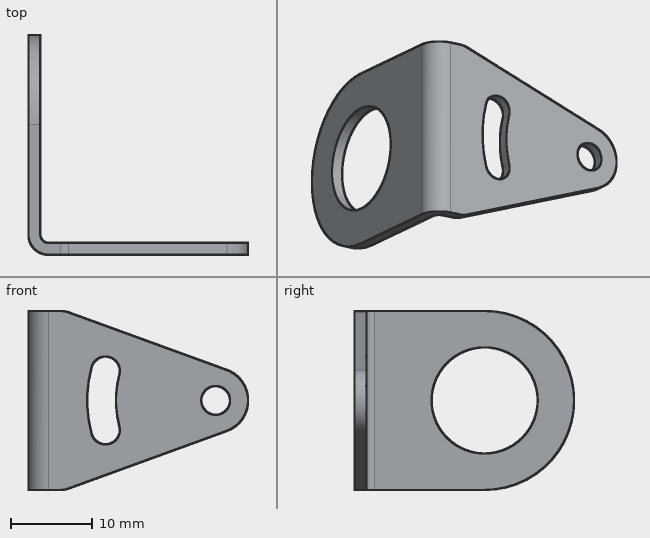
import cadquery as cq
import math

thickness = 1.5
inner_bend_radius = 1.0
outer_bend_radius = inner_bend_radius + thickness
leg_length = 27.0
height = 22.0
half_height = height / 2

round_end_radius = half_height
round_end_y = leg_length - round_end_radius
large_hole_diameter = 13.0

tip_radius = 4.0
pivot_x = leg_length - tip_radius
pivot_hole_diameter = 3.5
taper_angle = math.radians(20.0)
shoulder_radius = 3.0

slot_path_radius = 14.0
slot_width = 3.5
slot_half_angle = math.radians(15.0)


def make_bent_sheet():
    """L-shaped sheet with a rounded bend, its outer faces on X = 0 and Y = 0."""
    return (
        cq.Workplane("XY")
        .workplane(offset=-half_height)
        .moveTo(outer_bend_radius, 0)
        .lineTo(leg_length, 0)
        .lineTo(leg_length, thickness)
        .lineTo(outer_bend_radius, thickness)
        .radiusArc((thickness, outer_bend_radius), inner_bend_radius)
        .lineTo(thickness, leg_length)
        .lineTo(0, leg_length)
        .lineTo(0, outer_bend_radius)
        .radiusArc((outer_bend_radius, 0), -outer_bend_radius)
        .close()
        .extrude(height)
    )


def x_leg_plane():
    """Plane on the outer face of the X leg; local axes are X and Z."""
    return cq.Workplane("XZ")


def make_tapered_envelope():
    """Silhouette of the tapered leg, extruded over the depth of the part."""
    tangent_x = pivot_x + tip_radius * math.sin(taper_angle)
    tangent_z = tip_radius * math.cos(taper_angle)
    shoulder_x = tangent_x - (half_height - tangent_z) / math.tan(taper_angle)
    shoulder_setback = shoulder_radius * math.tan(taper_angle / 2)
    arc_start_x = shoulder_x - shoulder_setback
    arc_end_x = shoulder_x + shoulder_setback * math.cos(taper_angle)
    arc_end_z = half_height - shoulder_setback * math.sin(taper_angle)
    return (
        x_leg_plane()
        .moveTo(0, -half_height)
        .lineTo(0, half_height)
        .lineTo(arc_start_x, half_height)
        .radiusArc((arc_end_x, arc_end_z), shoulder_radius)
        .lineTo(tangent_x, tangent_z)
        .threePointArc((leg_length, 0), (tangent_x, -tangent_z))
        .lineTo(arc_end_x, -arc_end_z)
        .radiusArc((arc_start_x, -half_height), shoulder_radius)
        .close()
        .extrude(-leg_length)
    )


def make_rounded_envelope():
    """Silhouette of the round-ended leg, extruded over the width of the part."""
    return (
        cq.Workplane("YZ")
        .moveTo(0, -half_height)
        .lineTo(round_end_y, -half_height)
        .threePointArc((leg_length, 0), (round_end_y, half_height))
        .lineTo(0, half_height)
        .close()
        .extrude(leg_length)
    )


def make_large_hole():
    """Cutter for the large hole, concentric with the rounded end."""
    return (
        cq.Workplane("YZ")
        .center(round_end_y, 0)
        .circle(large_hole_diameter / 2)
        .extrude(thickness)
    )


def make_pivot_hole():
    """Cutter for the pivot hole, concentric with the tapered tip."""
    return (
        x_leg_plane()
        .center(pivot_x, 0)
        .circle(pivot_hole_diameter / 2)
        .extrude(-thickness)
    )


def slot_point(radius, angle):
    """Point at a radius and angle from the pivot, measured from the -X direction."""
    return (pivot_x - radius * math.cos(angle), radius * math.sin(angle))


def make_curved_slot():
    """Cutter for the arc-shaped slot with rounded ends."""
    end_radius = slot_width / 2
    near_radius = slot_path_radius - end_radius
    far_radius = slot_path_radius + end_radius
    end_x, end_z = slot_point(slot_path_radius, slot_half_angle)
    end_crown = (
        end_x + end_radius * math.sin(slot_half_angle),
        end_z + end_radius * math.cos(slot_half_angle),
    )
    return (
        x_leg_plane()
        .moveTo(*slot_point(far_radius, -slot_half_angle))
        .threePointArc(slot_point(far_radius, 0), slot_point(far_radius, slot_half_angle))
        .threePointArc(end_crown, slot_point(near_radius, slot_half_angle))
        .threePointArc(slot_point(near_radius, 0), slot_point(near_radius, -slot_half_angle))
        .threePointArc((end_crown[0], -end_crown[1]), slot_point(far_radius, -slot_half_angle))
        .close()
        .extrude(-thickness)
    )


result = (
    make_bent_sheet()
    .intersect(make_tapered_envelope())
    .intersect(make_rounded_envelope())
    .cut(make_large_hole())
    .cut(make_pivot_hole())
    .cut(make_curved_slot())
)